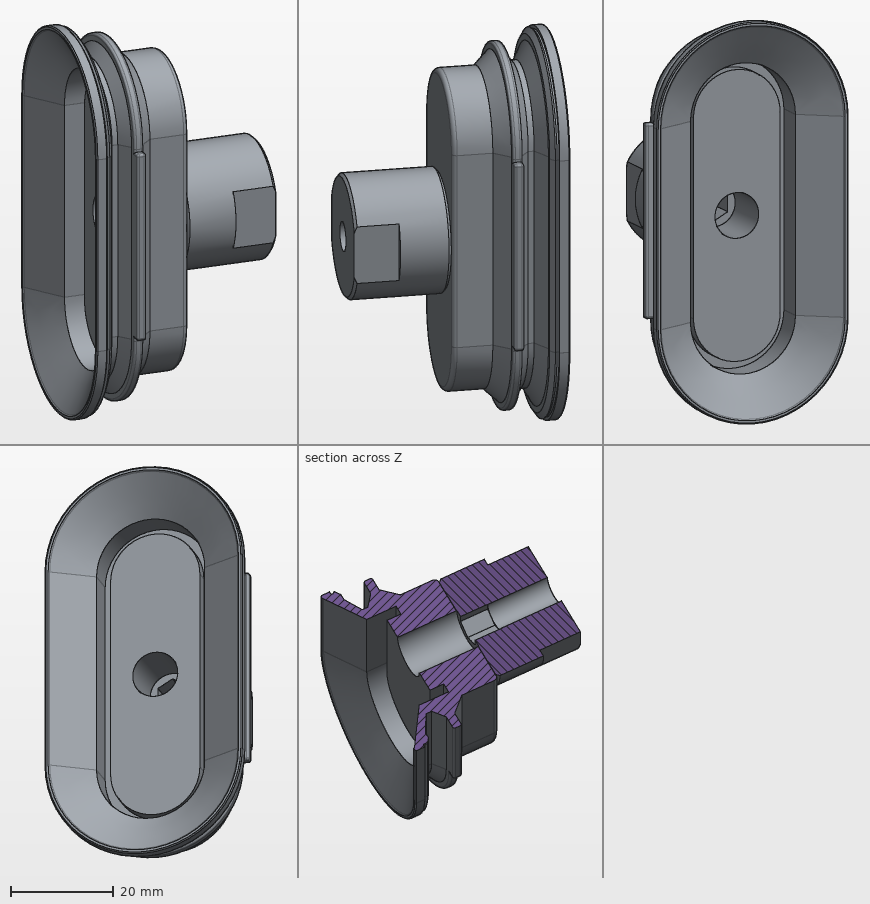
import cadquery as cq
import math


STRAIGHT_HALF = 20.0
LIP_R = 20.0

LIP_CHAMFER = 0.2
LIP_BAND_TOP = 2.1
RIM_WIDTH = 0.5
LIP_GROOVE_R = 19.4
LIP_GROOVE_TOP = 2.5
BEAD_R = 19.7
BEAD_PEAK_Y = 2.9
BEAD_TOP_R = 18.4
BEAD_TOP_Y = 3.8
LIP_CONE_R = 17.1

NECK_R = 13.4
NECK_BOTTOM = 5.8
NECK_TOP = 7.0
FOLD_R = 15.9
FLANGE_BOTTOM = 9.0
FLANGE_TOP = 10.9
WALL_R = 13.0
WALL_BOTTOM = 14.0
CUP_BACK = 22.1
SHOULDER_FILLET = 1.0

FLANGE_R = 17.4
STRIP_HALF_WIDTH = 19.0
STRIP_HALF_LENGTH = 19.4
FLANGE_FILLET = 0.5

CAVITY_R = 11.0
CAVITY_CONE_TOP = 5.5
CAVITY_FLOOR = 12.0
PAD_R = 9.0
PAD_FACE = 9.0
AIR_HOLE_R = 4.6

STEM_R = 12.5
STEM_LENGTH = 19.2
STEM_CHAMFER = 0.6
FLATS_WIDTH = 22.0
FLATS_LENGTH = 9.0
HEX_WIDTH = 6.0
HEX_DEPTH = 6.0
BORE_D = 5.9


def oval_solid(half_profile):
    """Solid with slot-shaped sections, from (half width, y) points starting and ending on the Y axis."""
    mirrored = [(-x, y) for x, y in reversed(half_profile) if x > 0]
    solid = (
        cq.Workplane("XY").workplane(offset=-STRAIGHT_HALF)
        .polyline(half_profile + mirrored).close().extrude(2 * STRAIGHT_HALF)
    )
    for side in (1, -1):
        half = cq.Workplane("XY").polyline([(side * x, y) for x, y in half_profile]).close()
        end = half.revolve(180, (0, 0), (0, -1))
        solid = solid.union(end.translate((0, 0, side * STRAIGHT_HALF)))
    return solid


def oval_slab(radius, bottom, top):
    """Flat slab with a slot-shaped outline between two Y levels."""
    return oval_solid([(0, bottom), (radius, bottom), (radius, top), (0, top)])


def bellows():
    """Solid outer shape of the cup without its flange."""
    shape = oval_solid([
        (0, 0),
        (LIP_R - LIP_CHAMFER, 0),
        (LIP_R, LIP_CHAMFER),
        (LIP_R, LIP_BAND_TOP),
        (LIP_GROOVE_R, LIP_BAND_TOP),
        (LIP_GROOVE_R, LIP_GROOVE_TOP),
        (BEAD_R, BEAD_PEAK_Y),
        (BEAD_TOP_R, BEAD_TOP_Y),
        (LIP_CONE_R, BEAD_TOP_Y),
        (NECK_R, NECK_BOTTOM),
        (NECK_R, NECK_TOP),
        (FOLD_R, FLANGE_BOTTOM),
        (FOLD_R, FLANGE_TOP),
        (WALL_R, WALL_BOTTOM),
        (WALL_R, CUP_BACK),
        (0, CUP_BACK),
    ])
    return shape.faces(">Y").edges().fillet(SHOULDER_FILLET)


def flange():
    """Flange with rounded edges around the fold, with wider strips along the straight sides."""
    thickness = FLANGE_TOP - FLANGE_BOTTOM
    ring = oval_slab(FLANGE_R, FLANGE_BOTTOM, FLANGE_TOP)
    ring = ring.faces("<Y or >Y").edges().fillet(FLANGE_FILLET)
    strips = (
        cq.Workplane("XY")
        .box(2 * STRIP_HALF_WIDTH, thickness, 2 * STRIP_HALF_LENGTH)
        .edges().fillet(FLANGE_FILLET)
        .translate((0, FLANGE_BOTTOM + thickness / 2, 0))
    )
    return ring.union(strips)


def cavity():
    """Space inside the cup, with the floor pad left standing."""
    rim_inner_r = LIP_R - LIP_CHAMFER - RIM_WIDTH
    space = oval_solid([
        (0, 0),
        (rim_inner_r, 0),
        (rim_inner_r - LIP_CHAMFER, LIP_CHAMFER),
        (CAVITY_R, CAVITY_CONE_TOP),
        (CAVITY_R, CAVITY_FLOOR),
        (0, CAVITY_FLOOR),
    ])
    return space.cut(oval_slab(PAD_R, PAD_FACE, CAVITY_FLOOR))


def back_plane(y):
    """Workplane at a Y level whose normal points to +Y."""
    return cq.Workplane("XZ", origin=(0, y, 0)).transformed(rotate=(180, 0, 0))


def make_cup():
    air_hole = back_plane(0).circle(AIR_HOLE_R).extrude(CUP_BACK)
    return bellows().union(flange()).cut(cavity()).cut(air_hole)


def make_stem():
    """Round stem seated on the cup back, with wrench flats, a hex socket and a through bore."""
    stem = back_plane(CUP_BACK).circle(STEM_R).extrude(STEM_LENGTH)
    stem = stem.faces("<Y or >Y").edges().chamfer(STEM_CHAMFER)
    stem_end = CUP_BACK + STEM_LENGTH
    flat_depth = STEM_R - FLATS_WIDTH / 2
    for side in (-1, 1):
        flat = cq.Workplane("XY").box(flat_depth, FLATS_LENGTH, 2 * STEM_R).translate(
            (side * (FLATS_WIDTH + flat_depth) / 2, stem_end - FLATS_LENGTH / 2, 0))
        stem = stem.cut(flat)
    hex_corner_d = HEX_WIDTH / math.cos(math.pi / 6)
    socket = back_plane(CUP_BACK).transformed(rotate=(0, 0, 90)).polygon(6, hex_corner_d).extrude(HEX_DEPTH)
    bore = back_plane(CUP_BACK).circle(BORE_D / 2).extrude(STEM_LENGTH)
    return stem.cut(socket).cut(bore)


cup = make_cup()
stem = make_stem()
result = cq.Compound.makeCompound([cup.solids().val(), stem.solids().val()])